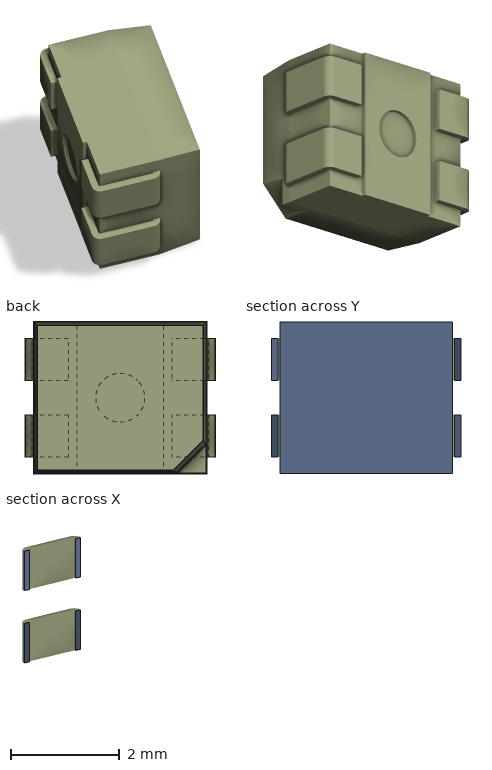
import cadquery as cq
import math

LENGTH = 3.5
DEPTH = 2.1
HEIGHT = 2.8

BODY_WIDTH = 3.185
UPPER_DEPTH = 0.798
LOWER_DEPTH = 1.148
DRAFT_ANGLE = 4.8
COVER_THICKNESS = 0.025

PEDESTAL_WIDTH = 1.59
PEDESTAL_HEIGHT = 0.077
RECESS_DIAMETER = 0.9
RECESS_DEPTH = 0.075

NOTCH_DEPTH = 0.602
NOTCH_TOP_LEG = 0.55
NOTCH_FLOOR_LEG = 0.515
NOTCH_MARGIN = 0.175

LEAD_THICKNESS = 0.13
LEAD_WIDTH = 0.777
LEAD_PITCH = 1.407
FOOT_LENGTH = 0.8
SHOULDER_RADIUS = 0.145
BEND_INNER_RADIUS = 0.025
BEND_RADIUS = LEAD_THICKNESS + BEND_INNER_RADIUS

FOOT_Y = UPPER_DEPTH - DEPTH


def section_inset(y):
    """Inset of each drafted package side at height y above the parting plane."""
    return y * math.tan(math.radians(DRAFT_ANGLE))


def notch_corner(y, leg):
    """Return the triangular notch section at y as a closed wire."""
    corner_x = -BODY_WIDTH / 2 + section_inset(y)
    corner_z = -HEIGHT / 2 + section_inset(y)
    outer_x = corner_x - NOTCH_MARGIN
    outer_z = corner_z - NOTCH_MARGIN
    reach = leg + 2 * NOTCH_MARGIN
    points = [
        cq.Vector(outer_x, y, outer_z),
        cq.Vector(outer_x + reach, y, outer_z),
        cq.Vector(outer_x, y, outer_z + reach),
    ]
    return cq.Wire.makePolygon(points, close=True)


def make_upper_block():
    """Drafted upper part of the package with its corner notch."""
    block = (
        cq.Workplane("XZ")
        .transformed(rotate=(180, 0, 0))
        .rect(BODY_WIDTH, HEIGHT)
        .extrude(UPPER_DEPTH, taper=DRAFT_ANGLE)
    )
    floor = notch_corner(UPPER_DEPTH - NOTCH_DEPTH, NOTCH_FLOOR_LEG)
    top = notch_corner(UPPER_DEPTH, NOTCH_TOP_LEG)
    notch = cq.Solid.makeLoft([floor, top], True)
    return block.cut(cq.Workplane(obj=notch))


def make_cover_space():
    """Slab that separates the cover from the housing below it."""
    return (
        cq.Workplane("XZ", origin=(0, UPPER_DEPTH, 0))
        .rect(BODY_WIDTH, HEIGHT)
        .extrude(COVER_THICKNESS)
    )


def make_housing(upper_block):
    """Package body with the pedestal and recess on its underside."""
    lower = cq.Workplane("XZ").rect(BODY_WIDTH, HEIGHT).extrude(LOWER_DEPTH)
    pedestal = (
        cq.Workplane("XZ", origin=(0, -LOWER_DEPTH, 0))
        .rect(PEDESTAL_WIDTH, HEIGHT)
        .extrude(PEDESTAL_HEIGHT)
    )
    recess = (
        cq.Workplane("XZ", origin=(0, RECESS_DEPTH - LOWER_DEPTH - PEDESTAL_HEIGHT, 0))
        .circle(RECESS_DIAMETER / 2)
        .extrude(RECESS_DEPTH)
    )
    upper = upper_block.cut(make_cover_space())
    return upper.union(lower).union(pedestal).cut(recess)


def make_cover(upper_block):
    """Thin plate closing the +Y end of the package."""
    return upper_block.intersect(make_cover_space())


def make_lead(side, z_center):
    """C-shaped lead; side is -1 for the -X lead and 1 for the +X lead."""
    outer_x = LENGTH / 2
    inner_x = outer_x - LEAD_THICKNESS
    body_x = BODY_WIDTH / 2
    foot_tip_x = outer_x - FOOT_LENGTH
    foot_top_y = FOOT_Y + LEAD_THICKNESS
    shoulder_x = outer_x - SHOULDER_RADIUS
    bend_x = outer_x - BEND_RADIUS
    bend_y = FOOT_Y + BEND_RADIUS
    lead = (
        cq.Workplane("XY", origin=(0, 0, z_center - LEAD_WIDTH / 2))
        .moveTo(body_x, 0)
        .lineTo(shoulder_x, 0)
        .radiusArc((outer_x, -SHOULDER_RADIUS), SHOULDER_RADIUS)
        .lineTo(outer_x, bend_y)
        .radiusArc((bend_x, FOOT_Y), BEND_RADIUS)
        .lineTo(foot_tip_x, FOOT_Y)
        .lineTo(foot_tip_x, foot_top_y)
        .lineTo(bend_x, foot_top_y)
        .radiusArc((inner_x, bend_y), -BEND_INNER_RADIUS)
        .lineTo(inner_x, -LEAD_THICKNESS)
        .lineTo(body_x, -LEAD_THICKNESS)
        .close()
        .extrude(LEAD_WIDTH)
    )
    return lead if side > 0 else lead.mirror("YZ")


upper_block = make_upper_block()
housing = make_housing(upper_block)
cover = make_cover(upper_block)

leads = []
for side in (-1, 1):
    for z_center in (-LEAD_PITCH / 2, LEAD_PITCH / 2):
        leads.append(make_lead(side, z_center).val())

result = cq.Compound.makeCompound([housing.solids().val(), cover.solids().val(), *leads])